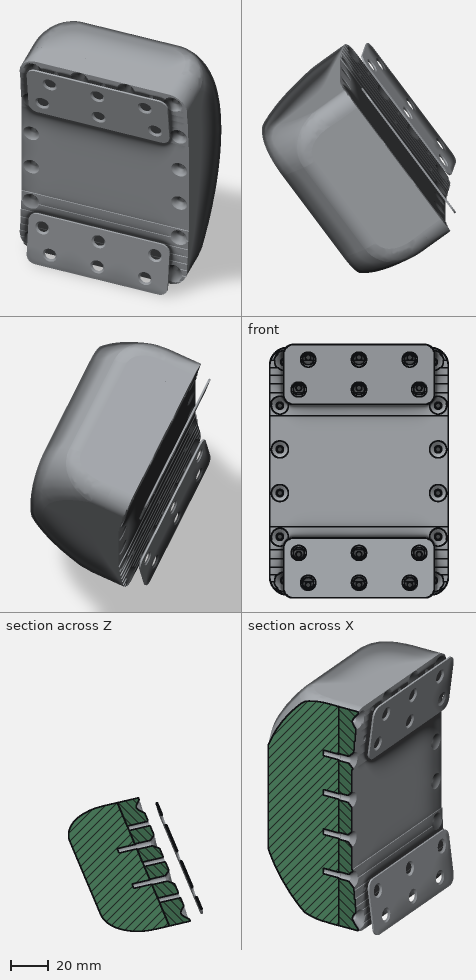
import cadquery as cq
import math

width = 95.0
height = 131.5
corner_radius = 10.0
half_width = width / 2
half_height = height / 2

cover_depth = 44.5
barrel_radius = 88.35
barrel_center_y = -31.7
side_edge_radius = 20.0
pilot_diameter = 3.0
pilot_depth = 10.0

base_depth = 8.1
step_count = 8
step_rise = 0.5
front_arc_radius = 432.0

screw_clearance_diameter = 3.8
countersink_radius = 4.5
side_screw_x = 42.0
side_screw_z = 11.6
corner_screw_x = 39.7
corner_screw_z = 58.0
end_screw_x = corner_screw_x / 3
end_screw_z = 60.2

plate_width = 80.0
plate_length = 32.0
plate_thickness = 1.0
plate_corner_radius = 5.0
plate_tilt = 7.3
plate_center_y = -18.52
plate_center_z = 51.37
plate_row_offset = 8.0
inner_row_x = 32.0
outer_row_x = 27.0
plate_hole_front_diameter = 8.0
plate_hole_back_diameter = 6.0

mount_hole_diameter = 3.0
mount_inner_z = 44.2
mount_outer_z = 60.4


def step_z(step):
    """Height at which the given step begins; the middle flat spans two rises of the arc."""
    return math.sqrt(2 * front_arc_radius * step_rise * (step + 1))


def front_y(step):
    """Front face position after the given number of steps."""
    return -base_depth - step * step_rise


def step_at(z):
    """Number of steps passed between the middle and height z."""
    return sum(1 for step in range(1, step_count + 1) if z > step_z(step))


def screw_places():
    """(x, z) of every screw."""
    side = [(side_screw_x, side_screw_z), (side_screw_x, 3 * side_screw_z)]
    ends = [(corner_screw_x, corner_screw_z), (end_screw_x, end_screw_z)]
    return [(sx * x, sz * z) for x, z in side + ends for sx in (-1, 1) for sz in (-1, 1)]


def mount_places():
    """(x, z) of every mounting hole in the base."""
    rows = [(inner_row_x, mount_inner_z), (outer_row_x, mount_outer_z)]
    return [(k * x, sz * z) for x, z in rows for k in (-1, 0, 1) for sz in (-1, 1)]


def rod(x, z, diameter, y_start, y_end):
    """Cylinder along Y."""
    return cq.Solid.makeCylinder(
        diameter / 2, y_end - y_start, cq.Vector(x, y_start, z), cq.Vector(0, 1, 0)
    )


def make_cover():
    shoulder_y = barrel_center_y + math.sqrt(barrel_radius**2 - half_height**2)
    body = (
        cq.Workplane("YZ")
        .moveTo(0, -half_height)
        .lineTo(shoulder_y, -half_height)
        .threePointArc((barrel_center_y + barrel_radius, 0), (shoulder_y, half_height))
        .lineTo(0, half_height)
        .close()
        .extrude(half_width, both=True)
    )
    body = body.edges("%CIRCLE").fillet(side_edge_radius)
    body = body.faces("<Z or >Z").edges("not <Y").fillet(corner_radius)
    trim = cq.Workplane("XY").box(
        2 * width, barrel_radius, 2 * height, centered=(True, False, True)
    )
    body = body.cut(trim.translate((0, cover_depth, 0)))
    for x, z in screw_places():
        body = body.cut(cq.Workplane(rod(x, z, pilot_diameter, 0, pilot_depth)))
    return body


def countersunk_screw_hole(x, z):
    """Through hole with a 45 degree cone starting at the lowest step its rim reaches."""
    rim_y = front_y(step_at(abs(z) - countersink_radius))
    cone_end_radius = screw_clearance_diameter / 2
    margin = step_count * step_rise
    cone = cq.Solid.makeCone(
        countersink_radius + margin,
        cone_end_radius,
        countersink_radius + margin - cone_end_radius,
        cq.Vector(x, rim_y - margin, z),
        cq.Vector(0, 1, 0),
    )
    return cq.Workplane(cone).union(
        cq.Workplane(rod(x, z, screw_clearance_diameter, rim_y, 0))
    )


def make_base():
    upper_steps = []
    for step in range(1, step_count + 1):
        upper_steps.append((front_y(step - 1), step_z(step)))
        upper_steps.append((front_y(step), step_z(step)))
    upper_steps.append((front_y(step_count), half_height))
    lower_steps = [(y, -z) for y, z in reversed(upper_steps)]
    body = (
        cq.Workplane("YZ")
        .polyline([(0, -half_height)] + lower_steps + upper_steps + [(0, half_height)])
        .close()
        .extrude(half_width, both=True)
    )
    outline = (
        cq.Workplane("XZ").rect(width, height).extrude(2 * base_depth)
        .edges("|Y").fillet(corner_radius)
    )
    body = body.intersect(outline)
    for x, z in screw_places():
        body = body.cut(countersunk_screw_hole(x, z))
    for x, z in mount_places():
        body = body.cut(cq.Workplane(rod(x, z, mount_hole_diameter, -2 * base_depth, 0)))
    return body


def make_plate(end):
    """Plate at the upper (end = 1) or lower (end = -1) end of the base."""
    plate = (
        cq.Workplane("XZ").rect(plate_width, plate_length)
        .extrude(plate_thickness / 2, both=True)
        .edges("|Y").fillet(plate_corner_radius)
    )
    rows = [(inner_row_x, -plate_row_offset), (outer_row_x, plate_row_offset)]
    for row_x, row_z in rows:
        for k in (-1, 0, 1):
            hole = cq.Solid.makeCone(
                plate_hole_front_diameter / 2,
                plate_hole_back_diameter / 2,
                plate_thickness,
                cq.Vector(k * row_x, -plate_thickness / 2, end * row_z),
                cq.Vector(0, 1, 0),
            )
            plate = plate.cut(cq.Workplane(hole))
    plate = plate.rotate((0, 0, 0), (1, 0, 0), end * plate_tilt)
    return plate.translate((0, plate_center_y, end * plate_center_z))


cover = make_cover()
base = make_base()
plates = [make_plate(end) for end in (1, -1)]

result = cq.Compound.makeCompound([cover.val(), base.val(), *[plate.val() for plate in plates]])